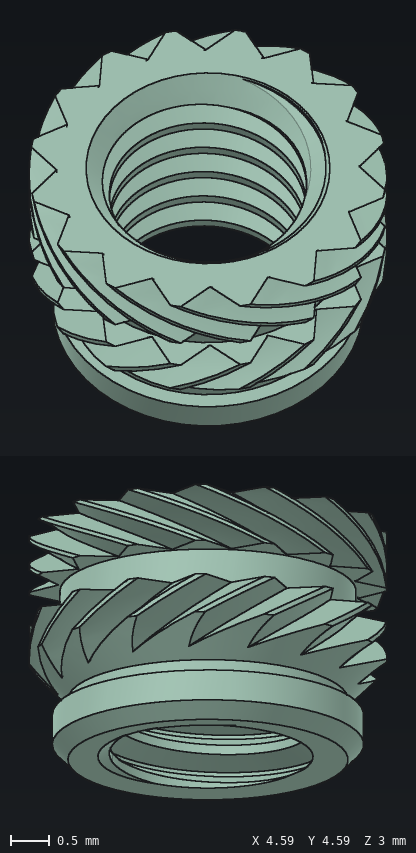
import cadquery as cq
import math


flange_top = 0.6
neck_top = 0.8
lower_knurl_top = 1.8
upper_knurl_bottom = 2.25
total_height = 3.0

flange_diameter = 4.0
flange_chamfer = 0.2
neck_diameter = 3.6
groove_diameter = 3.8

knurl_diameter = 4.59
valley_diameter = 3.885
tooth_count = 16
land_half_angle = 1.7
knurl_twist = 45.0

bore_diameter = 2.53
countersink_depth = 0.3
thread_root_diameter = 3.085
thread_pitch = 0.5
crest_width = thread_pitch / 4
flank_angle = 30.0
groove_phase = -thread_pitch / 4
cutter_overlap = 0.045


def cylinder(diameter, bottom, top):
    return cq.Workplane("XY").workplane(offset=bottom).circle(diameter / 2).extrude(top - bottom)


def polar_point(diameter, degrees):
    angle = math.radians(degrees)
    return (diameter / 2 * math.cos(angle), diameter / 2 * math.sin(angle))


def knurled_ring(bottom, top, twist):
    """Star-shaped prism with pointed valleys and narrow round lands, twisted over its height."""
    tooth_pitch = 360 / tooth_count
    valley_start = polar_point(valley_diameter, 0)
    outline = cq.Workplane("XY").workplane(offset=bottom).moveTo(*valley_start)
    for tooth in range(tooth_count):
        if tooth > 0:
            outline = outline.lineTo(*polar_point(valley_diameter, tooth * tooth_pitch))
        tooth_middle = (tooth + 0.5) * tooth_pitch
        outline = outline.lineTo(*polar_point(knurl_diameter, tooth_middle - land_half_angle))
        outline = outline.threePointArc(
            polar_point(knurl_diameter, tooth_middle),
            polar_point(knurl_diameter, tooth_middle + land_half_angle),
        )
    return outline.close().twistExtrude(top - bottom, twist)


def tapered_knurled_ring():
    """Lower ring, its underside tapering at 45 degrees down to the neck."""
    height = lower_knurl_top - neck_top
    neck_radius = neck_diameter / 2
    cone = (
        cq.Workplane("XY")
        .workplane(offset=neck_top)
        .circle(neck_radius)
        .workplane(offset=height)
        .circle(neck_radius + height)
        .loft()
    )
    return knurled_ring(neck_top, lower_knurl_top, knurl_twist).intersect(cone)


def thread_cutter():
    """Helical groove of trapezoidal section, running past both ends of the bore."""
    bore_radius = bore_diameter / 2
    root_radius = thread_root_diameter / 2
    inner_radius = bore_radius - cutter_overlap
    flank_slope = math.tan(math.radians(flank_angle))
    half_opening = (thread_pitch - crest_width) / 2
    inner_half_width = half_opening + cutter_overlap * flank_slope
    root_half_width = half_opening - (root_radius - bore_radius) * flank_slope

    start = groove_phase - thread_pitch
    turns = math.ceil((total_height - start) / thread_pitch) + 1
    helix = cq.Wire.makeHelix(thread_pitch, turns * thread_pitch, bore_radius, cq.Vector(0, 0, start))
    return (
        cq.Workplane("XZ")
        .moveTo(inner_radius, start - inner_half_width)
        .lineTo(root_radius, start - root_half_width)
        .lineTo(root_radius, start + root_half_width)
        .lineTo(inner_radius, start + inner_half_width)
        .close()
        .sweep(cq.Workplane(obj=helix), isFrenet=True)
    )


def countersink():
    """Cone opening the bore at the top face."""
    bore_radius = bore_diameter / 2
    return (
        cq.Workplane("XY")
        .workplane(offset=total_height - countersink_depth)
        .circle(bore_radius)
        .workplane(offset=countersink_depth)
        .circle(bore_radius + countersink_depth)
        .loft()
    )


body = (
    cylinder(flange_diameter, 0, flange_top)
    .faces("<Z")
    .chamfer(flange_chamfer)
    .union(cylinder(neck_diameter, flange_top, neck_top))
    .union(tapered_knurled_ring())
    .union(cylinder(groove_diameter, lower_knurl_top, upper_knurl_bottom))
    .union(knurled_ring(upper_knurl_bottom, total_height, -knurl_twist))
)

threaded = body.cut(thread_cutter())
result = threaded.cut(cylinder(bore_diameter, 0, total_height)).cut(countersink()).solids()